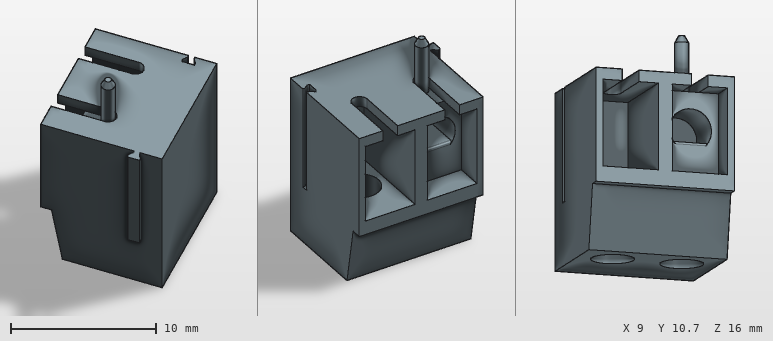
import cadquery as cq

housing_depth = 9.0
housing_width = 10.0
housing_height = 12.5
step_height = 4.48
step_setback = 0.8
foot_setback = 1.6

bay_pitch = housing_width / 2
bay_centers = [bay_pitch / 2, 3 * bay_pitch / 2]
empty_bay_center = bay_centers[1]
terminal_center = bay_centers[0]
bay_width = 4.0
bay_floor = 5.58
bay_top = 11.68
terminal_front = 2.03
cavity_depth = 4.64
cavity_ledge = 0.18

wire_hole_diameter = 3.0
wire_hole_depth = 3.2
wire_hole_z = 9.0
wire_flat_z = 8.16
lip_radius = 0.2

pin_diameter = 1.0
pin_tip_diameter = 0.45
pin_taper = 0.51
pin_top = 16.0
pin_x = 3.98
slot_width = 1.2

screw_hole_x = pin_x
screw_hole_diameter = 3.0

rail_x = 7.14
rail_neck_width = 0.46
rail_head_width = 0.96
rail_neck_length = 0.16
rail_flare_end = 0.51
rail_length = 0.7
rail_corner = 0.1


def box(x_start, x_end, y_center, width, z_start, z_end):
    """Box between X and Z limits, centered across the width."""
    return (
        cq.Workplane("XY", origin=(x_start, y_center, z_start))
        .rect(x_end - x_start, width)
        .extrude(z_end - z_start)
        .translate(((x_end - x_start) / 2, 0, 0))
    )


def make_housing():
    return (
        cq.Workplane("XZ")
        .moveTo(0, housing_height)
        .lineTo(housing_depth, housing_height)
        .lineTo(housing_depth, 0)
        .lineTo(foot_setback, 0)
        .lineTo(step_setback, step_height)
        .lineTo(0, step_height)
        .close()
        .extrude(-housing_width)
    )


def make_dovetail(root_y):
    """Dovetail running down to the step, pointing to -Y from root_y."""
    neck = rail_neck_width / 2
    head = rail_head_width / 2
    return (
        cq.Workplane("XY", origin=(rail_x, root_y, step_height))
        .moveTo(neck, 0)
        .lineTo(neck, -rail_neck_length)
        .lineTo(head, -rail_flare_end)
        .lineTo(head, -rail_length)
        .lineTo(rail_corner - head, -rail_length)
        .lineTo(-head, rail_corner - rail_length)
        .lineTo(-head, -rail_flare_end)
        .lineTo(-neck, -rail_neck_length)
        .lineTo(-neck, 0)
        .close()
        .extrude(housing_height - step_height)
    )


def make_slot(y_center):
    """Slot through the roof, open at the front and round at the pin."""
    straight = box(0, pin_x, y_center, slot_width, bay_top, housing_height)
    round_end = (
        cq.Workplane("XY", origin=(pin_x, y_center, bay_top))
        .circle(slot_width / 2)
        .extrude(housing_height - bay_top)
    )
    return straight.union(round_end)


def make_screw_hole(y_center):
    return (
        cq.Workplane("XY", origin=(screw_hole_x, y_center, 0))
        .circle(screw_hole_diameter / 2)
        .extrude(bay_floor)
    )


def make_cavity():
    """Terminal space behind the empty bay, narrower on its +Y side."""
    return box(
        terminal_front,
        terminal_front + cavity_depth,
        empty_bay_center - cavity_ledge / 2,
        bay_width - cavity_ledge,
        bay_floor,
        bay_top,
    )


def make_wire_hole():
    """Flat-bottomed round hole whose front lip is rounded."""
    hole_end = terminal_front + wire_hole_depth
    bore = (
        cq.Workplane("YZ", origin=(terminal_front, terminal_center, wire_hole_z))
        .circle(wire_hole_diameter / 2)
        .extrude(wire_hole_depth)
    )
    floor = (
        box(terminal_front, hole_end, terminal_center, bay_width, bay_floor, wire_flat_z)
        .edges("<X and >Z")
        .fillet(lip_radius)
    )
    return bore.cut(floor)


def make_pin():
    shank_length = pin_top - bay_top
    shank_radius = pin_diameter / 2
    return (
        cq.Workplane("XZ")
        .lineTo(shank_radius, 0)
        .lineTo(shank_radius, shank_length - pin_taper)
        .lineTo(pin_tip_diameter / 2, shank_length)
        .lineTo(0, shank_length)
        .close()
        .revolve(360, (0, 0), (0, 1))
        .translate((pin_x, terminal_center, bay_top))
    )


result = make_housing().union(make_dovetail(0)).cut(make_dovetail(housing_width))
for center in bay_centers:
    result = result.cut(box(0, terminal_front, center, bay_width, bay_floor, bay_top))
    result = result.cut(make_slot(center))
    result = result.cut(make_screw_hole(center))
result = result.cut(make_cavity()).cut(make_wire_hole()).union(make_pin())